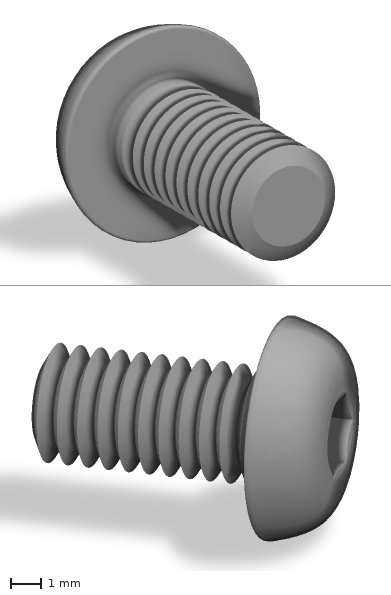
import cadquery as cq
import math


HEAD_DIAMETER = 7.5
HEAD_HEIGHT = 2.2
FACE_DIAMETER = HEAD_DIAMETER / 2
RIM_ROUND = 0.1
RIM_LAND = 0.1
DOME_HEIGHT = HEAD_HEIGHT - RIM_ROUND - RIM_LAND
DOME_RIM_ANGLE = 15.0
DOME_MID_X = 0.45
DOME_MID_RADIUS = 3.05

THREAD_DIAMETER = 4.0
THREAD_PITCH = 0.7
THREAD_COUNT = 10
SHANK_LENGTH = 8.0
NECK_FILLET = 0.2
FLANK_ANGLE = 30.0
THREAD_DEPTH = THREAD_PITCH / 2 / math.tan(math.radians(FLANK_ANGLE))

HEX_SIDES = 6
SOCKET_ACROSS_FLATS = 2.5
SOCKET_ACROSS_CORNERS = SOCKET_ACROSS_FLATS / math.cos(math.pi / HEX_SIDES)
SOCKET_DEPTH = 1.25
FLOOR_CONE_ANGLE = 30.0
ENTRY_CONE_ANGLE = 15.0

TOTAL_LENGTH = HEAD_HEIGHT + SHANK_LENGTH


def revolve_about_x(profile):
    """Turn a closed (X, radius) profile around the screw axis."""
    return profile.revolve(360, (0, 0, 0), (1, 0, 0))


def make_body():
    """Head, neck and ring-shaped thread grooves as one turned solid."""
    head_radius = HEAD_DIAMETER / 2
    thread_radius = THREAD_DIAMETER / 2
    root_radius = thread_radius - THREAD_DEPTH
    rim_angle = math.radians(DOME_RIM_ANGLE)
    round_start_x = HEAD_HEIGHT - RIM_ROUND
    neck_start_x = HEAD_HEIGHT + NECK_FILLET
    thread_start_x = TOTAL_LENGTH - THREAD_COUNT * THREAD_PITCH

    profile = (
        cq.Workplane("XY")
        .lineTo(0, FACE_DIAMETER / 2)
        .spline(
            [(DOME_MID_X, DOME_MID_RADIUS), (DOME_HEIGHT, head_radius)],
            tangents=[(0, 1), (math.cos(rim_angle), math.sin(rim_angle))],
            includeCurrent=True,
        )
        .lineTo(round_start_x, head_radius)
        .tangentArcPoint((HEAD_HEIGHT, head_radius - RIM_ROUND), relative=False)
        .lineTo(HEAD_HEIGHT, thread_radius + NECK_FILLET)
        .tangentArcPoint((neck_start_x, thread_radius), relative=False)
        .lineTo(thread_start_x - THREAD_PITCH / 2, thread_radius)
        .lineTo(thread_start_x, root_radius)
    )
    for turn in range(THREAD_COUNT):
        root_x = thread_start_x + turn * THREAD_PITCH
        profile = profile.lineTo(root_x + THREAD_PITCH / 2, thread_radius)
        profile = profile.lineTo(root_x + THREAD_PITCH, root_radius)
    return revolve_about_x(profile.lineTo(TOTAL_LENGTH, 0).close())


def make_socket():
    """Hex socket with a conical floor and a shallow conical entry."""
    corner_radius = SOCKET_ACROSS_CORNERS / 2
    entry_depth = corner_radius * math.tan(math.radians(ENTRY_CONE_ANGLE))
    tip_x = SOCKET_DEPTH + corner_radius * math.tan(math.radians(FLOOR_CONE_ANGLE))

    hexagon = cq.Workplane("YZ").polygon(HEX_SIDES, SOCKET_ACROSS_CORNERS).extrude(tip_x)
    drilled = revolve_about_x(
        cq.Workplane("XY")
        .lineTo(0, corner_radius)
        .lineTo(SOCKET_DEPTH, corner_radius)
        .lineTo(tip_x, 0)
        .close()
    )
    entry = revolve_about_x(
        cq.Workplane("XY")
        .lineTo(0, corner_radius)
        .lineTo(entry_depth, 0)
        .close()
    )
    return hexagon.intersect(drilled).union(entry)


result = make_body().cut(make_socket())